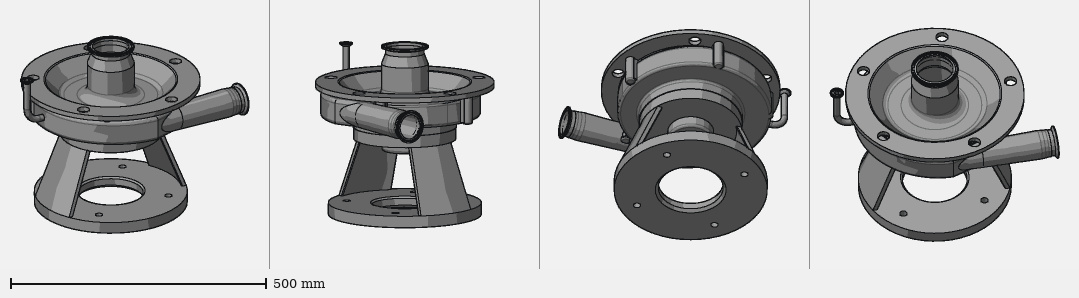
import math

import cadquery as cq

BASE_TOP = 23.0
PLUG_BOTTOM = 127.0
HUB_BOTTOM = 150.3
HUB_STEP = 174.0
CASING_BOTTOM = 196.2
OUTLET_HEIGHT = 220.2
DISH_FLOOR = 230.0
CASING_TOP = 246.3
CLAMP_RING_TOP = 250.0
FLANGE_BOTTOM = 253.3
FLANGE_TOP = 263.2
OVERALL_HEIGHT = 334.5

BASE_RADIUS = 150.0
BASE_BORE_RADIUS = 63.5
BASE_BORE_TOP_CHAMFER = 3.6
BASE_BORE_BOTTOM_CHAMFER = 5.8
BASE_BOLT_CIRCLE_RADIUS = 115.0
BASE_BOLT_DIAMETER = 14.0
BASE_BOLT_COUNT = 4
BASE_BOLT_START_ANGLE = 45.0
LEG_TOP_RADIUS = 100.0
LEG_THICKNESS = 10.0
LEG_INNER_CHAMFER = 2.5
LEG_TOP_HALF_WIDTH = 48.0
LEG_BOTTOM_HALF_WIDTH = 60.0

HUB_UPPER_RADIUS = 101.6
HUB_LOWER_RADIUS = 100.3
HUB_FILLET = 4.5
PLUG_RADIUS = 45.0
PLUG_FILLET = 5.0

VOLUTE_START_RADIUS = 143.0
VOLUTE_END_RADIUS = 168.0
VOLUTE_SWEEP = math.radians(270)
SPIRAL_STEPS = 12
VOLUTE_TOP_FILLET = 8.0
VOLUTE_BOTTOM_FILLET = 5.7
CLAMP_RING_RADIUS = 142.0
NECK_RADIUS = 139.0

BOSS_COUNT = 5
BOSS_START_ANGLE = 180.0
BOSS_RADIUS = 9.5
BOSS_CIRCLE_RADIUS = 152.0
BOSS_WEB_INNER_RADIUS = 125.0
BOSS_WEB_WIDTH = 22.5
BOSS_FILLET = 3.0

FLANGE_RADIUS = 175.0
FLANGE_HOLE_COUNT = 5
FLANGE_HOLE_START_ANGLE = 90.0
FLANGE_HOLE_CIRCLE_RADIUS = 152.0
FLANGE_HOLE_DIAMETER = 23.5
DISH_RIM_RADIUS = 128.0
DISH_RIM_CHAMFER_WIDTH = 3.0
DISH_RIM_CHAMFER_HEIGHT = 1.5
DISH_FLOOR_RADIUS = 98.0
DISH_FILLET = 14.0

INLET_RADIUS = 46.0
INLET_NECK_RADIUS = 38.0
INLET_BORE_RADIUS = 36.0
INLET_WALL = 4.0
INLET_FILLET = 20.0
INLET_CONE_BOTTOM = 298.8
INLET_CONE_TOP = 319.5
INLET_BORE_CONE_BOTTOM = 294.0
INLET_BORE_CONE_TOP = 305.0
INLET_BORE_BOTTOM = 210.0
INLET_RIM_THICKNESS = 3.0
INLET_RIM_BEVEL = 3.0
INLET_GROOVE_RADII = (40.5, 43.5)
GROOVE_DEPTH = 1.5
SMALL_GROOVE_DEPTH = 0.75

OUTLET_X = 139.5
OUTLET_END_Y = 211.2
OUTLET_RIM_RADIUS = 32.0
OUTLET_RIM_THICKNESS = 1.7
OUTLET_RIM_BEVEL = 4.3
OUTLET_NECK_RADIUS = 26.2
OUTLET_COLLAR_RADIUS = 27.1
OUTLET_PIPE_RADIUS = 28.4
OUTLET_INNER_RADIUS = 24.7
OUTLET_BORE_RADIUS = 23.9
OUTLET_BORE_DEPTH = 150.0
OUTLET_COLLAR_START = 13.8
OUTLET_COLLAR_END = 19.0
OUTLET_SLEEVE_RADIUS = 27.7
OUTLET_SLEEVE_END = 26.0
OUTLET_PIPE_START = 33.6
OUTLET_GROOVE_RADII = (27.2, 29.4)

DRAIN_Y = -196.5
DRAIN_HEIGHT = 221.2
DRAIN_TOP = 311.0
DRAIN_RADIUS = 6.5
DRAIN_BORE_RADIUS = 4.5
DRAIN_BEND_RADIUS = 28.0
DRAIN_ROOT_Y = -150.0
DRAIN_RIM_RADIUS = 13.0
DRAIN_RIM_THICKNESS = 1.5
DRAIN_RIM_BEVEL = 5.0
DRAIN_GROOVE_RADII = (8.0, 10.5)


def disc(radius, bottom, top):
    return cq.Workplane("XY").workplane(offset=bottom).circle(radius).extrude(top - bottom)


def ring(inner_radius, outer_radius, bottom, top):
    return disc(outer_radius, bottom, top).cut(disc(inner_radius, bottom, top))


def revolved(points):
    """Turn a closed (radius, height) outline about the Z axis."""
    return cq.Workplane("XZ").polyline(points).close().revolve(360, (0, 0, 0), (0, 1, 0))


def polar(radius, angle):
    return (radius * math.cos(angle), radius * math.sin(angle))


def make_base():
    base = disc(BASE_RADIUS, 0, BASE_TOP)
    base = base.faces(">Z").workplane().hole(2 * BASE_BORE_RADIUS)
    bore_edge = cq.selectors.RadiusNthSelector(0)
    base = base.faces(">Z").edges(bore_edge).chamfer(BASE_BORE_TOP_CHAMFER)
    base = base.faces("<Z").edges(bore_edge).chamfer(BASE_BORE_BOTTOM_CHAMFER)
    return (
        base.faces(">Z")
        .workplane(origin=(0, 0, BASE_TOP))
        .polarArray(BASE_BOLT_CIRCLE_RADIUS, BASE_BOLT_START_ANGLE, 360, BASE_BOLT_COUNT)
        .hole(BASE_BOLT_DIAMETER)
    )


def make_legs():
    """Two opposite strips of a conical shell, narrowing towards the hub."""
    shell = revolved(
        [
            (BASE_RADIUS - LEG_THICKNESS, BASE_TOP),
            (BASE_RADIUS, BASE_TOP),
            (LEG_TOP_RADIUS, HUB_BOTTOM),
            (LEG_TOP_RADIUS - LEG_THICKNESS, HUB_BOTTOM),
        ]
    )
    strip = (
        cq.Workplane("XZ")
        .polyline(
            [
                (-LEG_BOTTOM_HALF_WIDTH, BASE_TOP),
                (LEG_BOTTOM_HALF_WIDTH, BASE_TOP),
                (LEG_TOP_HALF_WIDTH, HUB_BOTTOM),
                (-LEG_TOP_HALF_WIDTH, HUB_BOTTOM),
            ]
        )
        .close()
        .extrude(BASE_RADIUS, both=True)
    )
    legs = shell.intersect(strip)
    middle_half_width = (LEG_TOP_HALF_WIDTH + LEG_BOTTOM_HALF_WIDTH) / 2
    middle_radius = (LEG_TOP_RADIUS + BASE_RADIUS - LEG_THICKNESS) / 2
    inner_reach = math.sqrt(middle_radius**2 - middle_half_width**2)
    slanting_inner_edges = cq.selectors.BoxSelector(
        (-LEG_BOTTOM_HALF_WIDTH, -inner_reach, BASE_TOP + LEG_THICKNESS),
        (LEG_BOTTOM_HALF_WIDTH, inner_reach, HUB_BOTTOM - LEG_THICKNESS),
    )
    return legs.edges(slanting_inner_edges).chamfer(LEG_INNER_CHAMFER)


def make_hub():
    hub = disc(HUB_LOWER_RADIUS, HUB_BOTTOM, HUB_STEP)
    hub = hub.union(disc(HUB_UPPER_RADIUS, HUB_STEP, CASING_BOTTOM))
    flare_radius = HUB_UPPER_RADIUS + HUB_FILLET
    flare_bottom = CASING_BOTTOM - HUB_FILLET
    flare_middle = HUB_FILLET * (1 - math.sqrt(0.5))
    flare = (
        cq.Workplane("XZ")
        .moveTo(0, flare_bottom)
        .lineTo(HUB_UPPER_RADIUS, flare_bottom)
        .threePointArc(
            (HUB_UPPER_RADIUS + flare_middle, CASING_BOTTOM - flare_middle),
            (flare_radius, CASING_BOTTOM),
        )
        .lineTo(0, CASING_BOTTOM)
        .close()
        .revolve(360, (0, 0, 0), (0, 1, 0))
    )
    plug = disc(PLUG_RADIUS, PLUG_BOTTOM, HUB_BOTTOM).faces("<Z").edges().fillet(PLUG_FILLET)
    return hub.union(flare).union(plug)


def volute_point(fraction):
    growth = VOLUTE_END_RADIUS - VOLUTE_START_RADIUS
    radius = VOLUTE_START_RADIUS + growth * fraction
    return polar(radius, math.pi / 2 + VOLUTE_SWEEP * fraction)


def make_casing():
    """Spiral body closed under the outlet pipe, with a round neck up to the cover."""
    outlet_inner_x = OUTLET_X - OUTLET_INNER_RADIUS
    tongue_angle = math.acos(outlet_inner_x / VOLUTE_START_RADIUS)
    tongue = polar(VOLUTE_START_RADIUS, tongue_angle)
    spiral = [volute_point(step / SPIRAL_STEPS) for step in range(SPIRAL_STEPS + 1)]
    casing = (
        cq.Workplane("XY")
        .workplane(offset=CASING_BOTTOM)
        .moveTo(*spiral[0])
        .spline(spiral[1:], includeCurrent=True)
        .lineTo(OUTLET_X, tongue[1])
        .lineTo(*tongue)
        .threePointArc(
            polar(VOLUTE_START_RADIUS, (tongue_angle + math.pi / 2) / 2),
            spiral[0],
        )
        .close()
        .extrude(CASING_TOP - CASING_BOTTOM)
        .faces(">Z")
        .edges()
        .fillet(VOLUTE_TOP_FILLET)
        .faces("<Z")
        .edges()
        .fillet(VOLUTE_BOTTOM_FILLET)
    )
    clamp_ring = disc(CLAMP_RING_RADIUS, CASING_TOP - VOLUTE_TOP_FILLET, CLAMP_RING_TOP)
    neck = disc(NECK_RADIUS, CLAMP_RING_TOP, FLANGE_BOTTOM)
    return casing.union(clamp_ring).union(neck)


def make_bosses():
    web_length = BOSS_CIRCLE_RADIUS - BOSS_WEB_INNER_RADIUS
    boss = (
        disc(BOSS_RADIUS, CASING_BOTTOM, FLANGE_BOTTOM)
        .translate((BOSS_CIRCLE_RADIUS, 0, 0))
        .faces("<Z")
        .edges()
        .fillet(BOSS_FILLET)
    )
    web = (
        cq.Workplane("XY")
        .workplane(offset=CASING_BOTTOM + BOSS_FILLET)
        .center(BOSS_CIRCLE_RADIUS - web_length / 2, 0)
        .rect(web_length, BOSS_WEB_WIDTH)
        .extrude(CLAMP_RING_TOP - CASING_BOTTOM - BOSS_FILLET)
    )
    boss = boss.union(web)
    bosses = cq.Workplane("XY")
    for index in range(BOSS_COUNT):
        angle = BOSS_START_ANGLE + index * 360 / BOSS_COUNT
        bosses = bosses.add(boss.rotate((0, 0, 0), (0, 0, 1), angle))
    return bosses.combine()


def make_flange():
    return (
        disc(FLANGE_RADIUS, FLANGE_BOTTOM, FLANGE_TOP)
        .faces(">Z")
        .workplane(origin=(0, 0, FLANGE_TOP))
        .polarArray(FLANGE_HOLE_CIRCLE_RADIUS, FLANGE_HOLE_START_ANGLE, 360, FLANGE_HOLE_COUNT)
        .hole(FLANGE_HOLE_DIAMETER)
    )


def make_dish():
    """Ring-shaped void between the sloping dish wall and the inlet nozzle."""
    void = revolved(
        [
            (INLET_RADIUS, DISH_FLOOR),
            (DISH_FLOOR_RADIUS, DISH_FLOOR),
            (DISH_RIM_RADIUS, FLANGE_TOP - DISH_RIM_CHAMFER_HEIGHT),
            (DISH_RIM_RADIUS + DISH_RIM_CHAMFER_WIDTH, FLANGE_TOP),
            (INLET_RADIUS, FLANGE_TOP),
        ]
    )
    floor_circles = void.faces("<Z").edges()
    void = floor_circles.edges(cq.selectors.RadiusNthSelector(1)).fillet(DISH_FILLET)
    floor_circles = void.faces("<Z").edges()
    return floor_circles.edges(cq.selectors.RadiusNthSelector(0)).fillet(INLET_FILLET)


def make_inlet():
    rim_bottom = OVERALL_HEIGHT - INLET_RIM_THICKNESS
    nozzle = revolved(
        [
            (0, DISH_FLOOR),
            (INLET_RADIUS, DISH_FLOOR),
            (INLET_RADIUS, INLET_CONE_BOTTOM),
            (INLET_NECK_RADIUS, INLET_CONE_TOP),
            (INLET_NECK_RADIUS, rim_bottom - INLET_RIM_BEVEL),
            (INLET_RADIUS, rim_bottom),
            (INLET_RADIUS, OVERALL_HEIGHT),
            (0, OVERALL_HEIGHT),
        ]
    )
    return nozzle.cut(ring(*INLET_GROOVE_RADII, OVERALL_HEIGHT - GROOVE_DEPTH, OVERALL_HEIGHT))


def make_inlet_bore():
    wide_radius = INLET_RADIUS - INLET_WALL
    return revolved(
        [
            (0, INLET_BORE_BOTTOM),
            (wide_radius, INLET_BORE_BOTTOM),
            (wide_radius, INLET_BORE_CONE_BOTTOM),
            (INLET_BORE_RADIUS, INLET_BORE_CONE_TOP),
            (INLET_BORE_RADIUS, OVERALL_HEIGHT),
            (0, OVERALL_HEIGHT),
        ]
    )


def place_outlet(shape):
    """Turn a shape built about Z so that its top end faces +Y at the outlet mouth."""
    return shape.rotate((0, 0, 0), (1, 0, 0), -90).translate((OUTLET_X, OUTLET_END_Y, OUTLET_HEIGHT))


def make_outlet():
    bevel_end = OUTLET_RIM_THICKNESS + OUTLET_RIM_BEVEL
    pipe = revolved(
        [
            (0, -OUTLET_END_Y),
            (OUTLET_INNER_RADIUS, -OUTLET_END_Y),
            (OUTLET_PIPE_RADIUS, -OUTLET_PIPE_START),
            (OUTLET_SLEEVE_RADIUS, -OUTLET_SLEEVE_END),
            (OUTLET_COLLAR_RADIUS, -OUTLET_COLLAR_END),
            (OUTLET_COLLAR_RADIUS, -OUTLET_COLLAR_START),
            (OUTLET_NECK_RADIUS, -OUTLET_COLLAR_START),
            (OUTLET_NECK_RADIUS, -bevel_end),
            (OUTLET_RIM_RADIUS, -OUTLET_RIM_THICKNESS),
            (OUTLET_RIM_RADIUS, 0),
            (0, 0),
        ]
    )
    groove = ring(*OUTLET_GROOVE_RADII, -SMALL_GROOVE_DEPTH, 0)
    return place_outlet(pipe.cut(groove))


def make_outlet_bore():
    return place_outlet(disc(OUTLET_BORE_RADIUS, -OUTLET_BORE_DEPTH, 0))


def drain_sweep(radius):
    """Round bar leading out of the casing, round the bend and up to the ferrule's top."""
    bend_start = DRAIN_Y + DRAIN_BEND_RADIUS
    bend_end = DRAIN_HEIGHT + DRAIN_BEND_RADIUS
    bend_inset = DRAIN_BEND_RADIUS * (1 - math.sqrt(0.5))
    path = (
        cq.Workplane("YZ")
        .moveTo(DRAIN_ROOT_Y, DRAIN_HEIGHT)
        .lineTo(bend_start, DRAIN_HEIGHT)
        .threePointArc(
            (DRAIN_Y + bend_inset, DRAIN_HEIGHT + bend_inset),
            (DRAIN_Y, bend_end),
        )
        .lineTo(DRAIN_Y, DRAIN_TOP)
    )
    section = cq.Workplane("XZ", origin=(0, DRAIN_ROOT_Y, DRAIN_HEIGHT)).circle(radius)
    return section.sweep(path)


def make_drain():
    rim_bottom = DRAIN_TOP - DRAIN_RIM_THICKNESS
    ferrule = revolved(
        [
            (0, rim_bottom - DRAIN_RIM_BEVEL),
            (DRAIN_RADIUS, rim_bottom - DRAIN_RIM_BEVEL),
            (DRAIN_RIM_RADIUS, rim_bottom),
            (DRAIN_RIM_RADIUS, DRAIN_TOP),
            (0, DRAIN_TOP),
        ]
    )
    ferrule = ferrule.cut(ring(*DRAIN_GROOVE_RADII, DRAIN_TOP - SMALL_GROOVE_DEPTH, DRAIN_TOP))
    return drain_sweep(DRAIN_RADIUS).union(ferrule.translate((0, DRAIN_Y, 0)))


body = make_base().union(make_legs()).union(make_hub()).union(make_casing())
body = body.union(make_bosses()).union(make_flange()).union(make_outlet()).union(make_drain())
body = body.cut(make_dish()).union(make_inlet())
result = body.cut(make_inlet_bore()).cut(make_outlet_bore()).cut(drain_sweep(DRAIN_BORE_RADIUS))